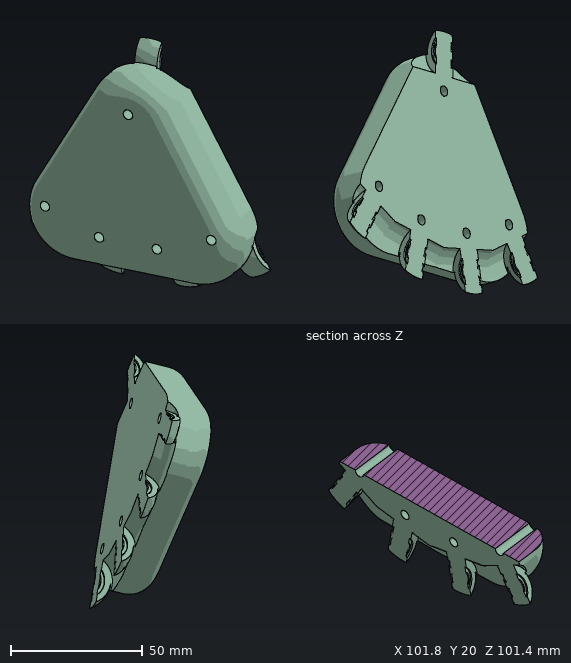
import cadquery as cq
import math

corner_spacing = 50.9
corner_radius = 20.0
body_depth = 20.0
edge_fillet = body_depth / 2
corner_distance = corner_spacing / math.sqrt(3)

wheel_width = 9.5
wheel_edge_radius = 9.7
wheel_crown_radius = 10.2
axle_y = 5.3

recess_radius = 7.3
boss_radius = 5.9
recess_depth = 0.7

scoop_radius = 10.4
scoop_length = 2 * corner_spacing

hole_diameter = 4.0
hole_inset = 15.1

top_wheel_z = 49.3
side_wheel_x = 42.7
side_wheel_z = -24.3
side_wheel_angle = 60
bottom_wheel_x = 14.9
bottom_wheel_z = -34.5
bottom_wheel_angle = 80
wheel_stations = [
    (0, top_wheel_z, 90),
    (side_wheel_x, side_wheel_z, -side_wheel_angle),
    (-side_wheel_x, side_wheel_z, side_wheel_angle - 180),
    (bottom_wheel_x, bottom_wheel_z, -bottom_wheel_angle),
    (-bottom_wheel_x, bottom_wheel_z, bottom_wheel_angle - 180),
]


def make_body():
    """Rounded triangle extruded from y = 0 towards -Y, with its outer rim filleted."""
    corner_angles = [math.radians(angle) for angle in (90, 210, 330)]
    corners = [
        (corner_distance * math.cos(angle), corner_distance * math.sin(angle))
        for angle in corner_angles
    ]
    body = cq.Workplane("XZ").polyline(corners).close().offset2D(corner_radius).extrude(body_depth)
    return body.faces("<Y").edges().fillet(edge_fillet)




def axle_cylinder(radius, length):
    """Cylinder around the wheel axle, centred on x = 0."""
    return cq.Workplane("YZ").center(axle_y, 0).circle(radius).extrude(length / 2, both=True)


def make_wheel():
    """Crowned disc, kept only on the body side of the split face."""
    half_width = wheel_width / 2
    wheel = (
        cq.Workplane("XY")
        .moveTo(-half_width, 0)
        .lineTo(-half_width, wheel_edge_radius)
        .threePointArc((0, wheel_crown_radius), (half_width, wheel_edge_radius))
        .lineTo(half_width, 0)
        .close()
        .revolve(360, (0, 0, 0), (1, 0, 0))
        .translate((0, axle_y, 0))
    )
    keep_size = 4 * wheel_crown_radius
    keep_box = cq.Workplane("XY").box(keep_size, keep_size, keep_size).translate((0, -keep_size / 2, 0))
    return wheel.intersect(keep_box)


def make_scoop():
    """Clearance on both sides of a wheel; the body stays solid across the wheel's own width."""
    scoop = axle_cylinder(scoop_radius, scoop_length)
    return scoop.cut(axle_cylinder(scoop_radius, wheel_width))


def make_hub_recess():
    """Pair of rings cut into the two faces of a wheel, leaving the hub boss flush."""
    rings = axle_cylinder(recess_radius, wheel_width)
    rings = rings.cut(axle_cylinder(boss_radius, wheel_width))
    return rings.cut(axle_cylinder(recess_radius, wheel_width - 2 * recess_depth))


def make_hole():
    """Screw hole through the full depth of the body."""
    return cq.Workplane("XZ").center(0, -hole_inset).circle(hole_diameter / 2).extrude(body_depth)


def place(shape, station):
    """Turn a shape to its station's outward direction and move it there."""
    x, z, direction = station
    return shape.rotate((0, 0, 0), (0, 1, 0), 90 - direction).translate((x, 0, z))


result = make_body()
for station in wheel_stations:
    result = result.cut(place(make_scoop(), station))
    result = result.cut(place(make_hole(), station))
for station in wheel_stations:
    result = result.union(place(make_wheel(), station))
    result = result.cut(place(make_hub_recess(), station))